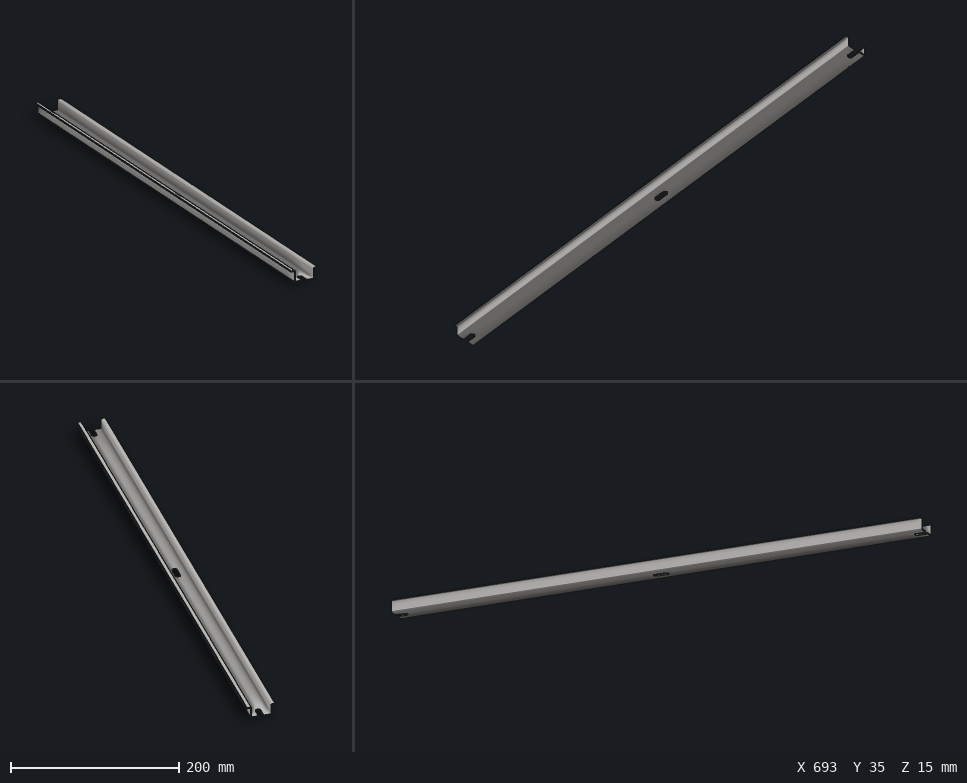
import cadquery as cq

length = 693.0
rail_width = 35.0
rail_height = 15.0
channel_width = 27.0
sheet = 1.5
inner_bend = 0.4
outer_bend = inner_bend + sheet

slot_width = 6.0
slot_length = 19.5
end_notch_depth = 15.0


def rail_body():
    """Bent sheet channel with an outward lip along the top of each wall."""
    lip_edge = rail_width / 2
    wall_outside = channel_width / 2
    wall_inside = wall_outside - sheet
    lip_underside = rail_height - sheet

    floor_outer_corner = (wall_outside, 0)
    lip_outer_corner = (wall_outside, lip_underside)
    lip_inner_corner = (wall_inside, rail_height)
    floor_inner_corner = (wall_inside, sheet)
    half_outline = [
        floor_outer_corner,
        lip_outer_corner,
        (lip_edge, lip_underside),
        (lip_edge, rail_height),
        lip_inner_corner,
        floor_inner_corner,
    ]
    mirrored_half = [(-y, z) for y, z in reversed(half_outline)]
    body = cq.Workplane("YZ").polyline(half_outline + mirrored_half).close().extrude(length / 2, both=True)

    for y, z in (floor_outer_corner, lip_inner_corner):
        body = round_corner_pair(body, y, z, outer_bend)
    for y, z in (floor_inner_corner, lip_outer_corner):
        body = round_corner_pair(body, y, z, inner_bend)
    return body


def round_corner_pair(body, y, z, radius):
    """Round the two lengthwise edges at (y, z) and (-y, z)."""
    for side in (-1, 1):
        edge = cq.selectors.NearestToPointSelector((0, side * y, z))
        body = body.edges("|X").edges(edge).fillet(radius)
    return body


def floor_slots():
    """Round-ended slot at mid length and a round-bottomed notch at each end."""
    mid_slot = cq.Workplane("XY").slot2D(slot_length, slot_width).extrude(rail_height)
    end_slots = (
        cq.Workplane("XY")
        .pushPoints([(-length / 2, 0), (length / 2, 0)])
        .slot2D(2 * end_notch_depth, slot_width)
        .extrude(rail_height)
    )
    return mid_slot.union(end_slots)


result = rail_body().cut(floor_slots())